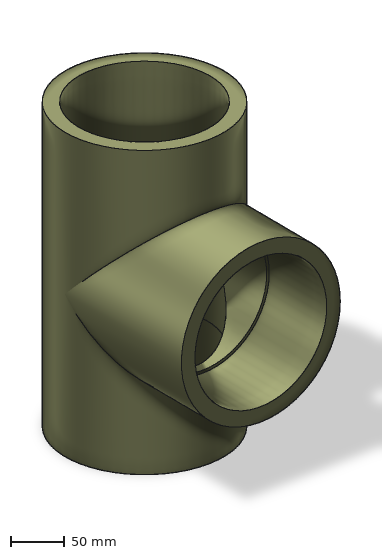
import cadquery as cq

run_length = 348.0
outer_diameter = 193.0
socket_diameter = 160.0
bore_diameter = 153.8
socket_depth = 86.0
branch_reach = run_length / 2


def run_cylinder(diameter, length):
    """Cylinder along Z, centred on the origin."""
    return cq.Workplane("XY").circle(diameter / 2).extrude(length / 2, both=True)


def branch_cylinder(diameter, start, end):
    """Cylinder along X between two distances from the run axis."""
    return cq.Workplane("YZ").workplane(offset=start).circle(diameter / 2).extrude(end - start)


body = run_cylinder(outer_diameter, run_length).union(
    branch_cylinder(outer_diameter, 0, branch_reach)
)

body = body.cut(run_cylinder(bore_diameter, run_length))
body = body.cut(branch_cylinder(bore_diameter, 0, branch_reach))

upper_socket = (
    cq.Workplane("XY")
    .workplane(offset=run_length / 2 - socket_depth)
    .circle(socket_diameter / 2)
    .extrude(socket_depth)
)
lower_socket = upper_socket.mirror("XY")
branch_socket = branch_cylinder(socket_diameter, branch_reach - socket_depth, branch_reach)
for socket in (upper_socket, lower_socket, branch_socket):
    body = body.cut(socket)

result = body